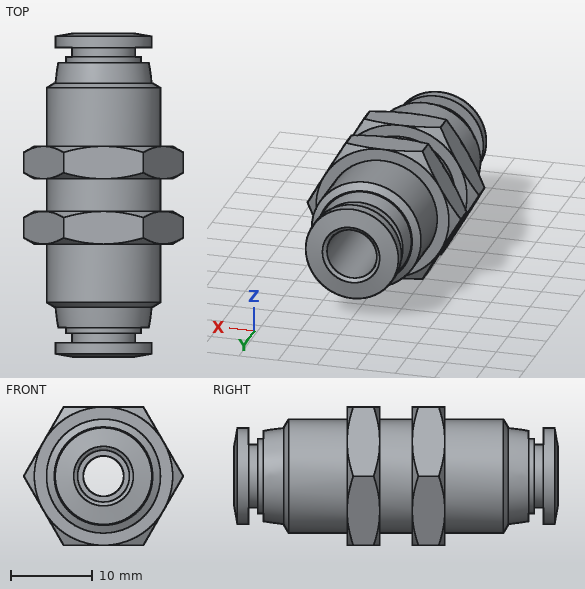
import cadquery as cq
import math

half_length = 19.9

collar_radius = 5.95
collar_rim_setback = 0.4
collar_inner_face = half_length - 1.8
neck_radius = 3.9

step_radius = 4.6
step_face = half_length - 2.9
shoulder_face = half_length - 3.62
shoulder_small_radius = 5.57
shoulder_large_radius = 5.95
shoulder_bulge = 0.05

body_radius = 7.0
body_face_radius = 6.05
body_face = half_length - 6.13
body_chamfer_length = 0.6

through_radius = 2.45
socket_radius = 3.2
socket_depth = 16.7
mouth_radius = 3.65
lip_radius = 3.45
lip_depth = 0.1
lead_in_depth = 0.35

nut_across_flats = 17.0
nut_thickness = 4.0
nut_inner_face = 2.0
nut_chamfer_angle = 30.0


def revolve_about_y(profile):
    """Turn a closed radius/Y profile around the Y axis."""
    return profile.close().revolve(360, (0, 0, 0), (0, 1, 0))


def body():
    """Solid central body, chamfered at both ends."""
    chamfer_start = body_face - body_chamfer_length
    return revolve_about_y(
        cq.Workplane("XY")
        .moveTo(0, -body_face)
        .lineTo(body_face_radius, -body_face)
        .lineTo(body_radius, -chamfer_start)
        .lineTo(body_radius, chamfer_start)
        .lineTo(body_face_radius, body_face)
        .lineTo(0, body_face)
    )


def sleeve_and_collar():
    """Solid sleeve, neck and release collar on the +Y end."""
    shoulder_middle = (
        (shoulder_small_radius + shoulder_large_radius) / 2 + shoulder_bulge,
        (shoulder_face + body_face) / 2,
    )
    return revolve_about_y(
        cq.Workplane("XY")
        .moveTo(0, body_face)
        .lineTo(shoulder_large_radius, body_face)
        .threePointArc(shoulder_middle, (shoulder_small_radius, shoulder_face))
        .lineTo(step_radius, shoulder_face)
        .lineTo(step_radius, step_face)
        .lineTo(neck_radius, step_face)
        .lineTo(neck_radius, collar_inner_face)
        .lineTo(collar_radius, collar_inner_face)
        .lineTo(collar_radius, half_length - collar_rim_setback)
        .lineTo(mouth_radius, half_length)
        .lineTo(0, half_length)
    )


def tube_socket():
    """Cutter for the tube socket and its two-stage lead-in at the +Y end."""
    socket_floor = half_length - socket_depth
    return revolve_about_y(
        cq.Workplane("XY")
        .moveTo(0, half_length)
        .lineTo(mouth_radius, half_length)
        .lineTo(lip_radius, half_length - lip_depth)
        .lineTo(socket_radius, half_length - lead_in_depth)
        .lineTo(socket_radius, socket_floor)
        .lineTo(0, socket_floor)
    )


def with_opposite(end_feature):
    """The feature together with its mirror image on the -Y end."""
    return end_feature.union(end_feature.mirror("XZ"))


def nut():
    """Hexagonal nut on the +Y side, with both faces chamfered at the corners."""
    flat_radius = nut_across_flats / 2
    corner_radius = flat_radius / math.cos(math.radians(30))
    corner_drop = (corner_radius - flat_radius) * math.tan(math.radians(nut_chamfer_angle))
    nut_outer_face = nut_inner_face + nut_thickness
    hexagon = (
        cq.Workplane("XZ", origin=(0, nut_outer_face, 0))
        .polygon(6, 2 * corner_radius)
        .extrude(nut_thickness)
    )
    envelope = (
        cq.Workplane("XY")
        .moveTo(0, nut_inner_face)
        .lineTo(flat_radius, nut_inner_face)
        .lineTo(corner_radius, nut_inner_face + corner_drop)
        .lineTo(corner_radius, nut_outer_face - corner_drop)
        .lineTo(flat_radius, nut_outer_face)
        .lineTo(0, nut_outer_face)
    )
    return hexagon.intersect(revolve_about_y(envelope))


through_bore = cq.Workplane("XZ").circle(through_radius).extrude(half_length, both=True)

result = (
    body()
    .union(with_opposite(sleeve_and_collar()))
    .union(with_opposite(nut()))
    .cut(through_bore)
    .cut(with_opposite(tube_socket()))
)